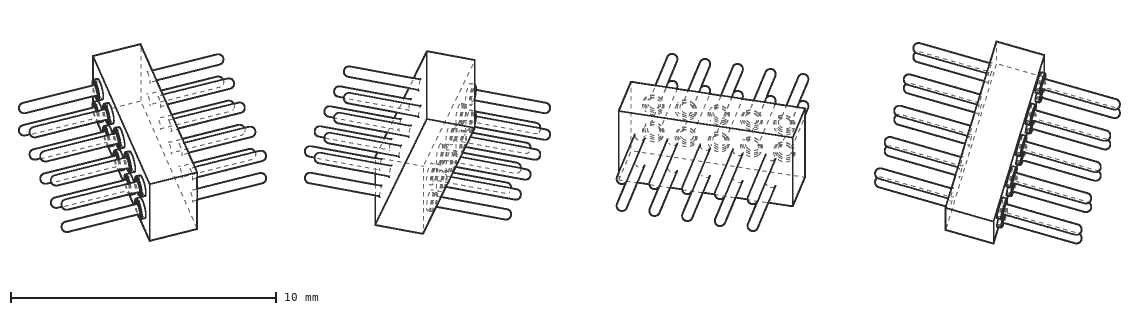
import cadquery as cq
import math

body_width = 6.76
body_height = 3.25
body_depth = 1.89

columns = 5
rows = 2
pitch = 1.27

overall_length = 8.1
rear_length = 3.005
pin_radius = 0.2
root_fillet = 0.08

flange_radius = 0.405
flange_thickness = 0.195
bevel_width = 0.05
bevel_depth = 0.04
collar_radius = 0.26

front_tip = -overall_length / 2
rear_tip = overall_length / 2
body_rear = rear_tip - rear_length
body_front = body_rear - body_depth
flange_front = body_front - flange_thickness


def make_body():
    """Plain rectangular insulator block."""
    body = cq.Workplane("XY").box(body_width, body_depth, body_height)
    return body.translate((0, (body_front + body_rear) / 2, 0))


def fillet_point(angle):
    """Radial and axial distance of a root fillet point from where the fillet leaves the shank."""
    return root_fillet * (1 - math.cos(angle)), root_fillet * math.sin(angle)


def make_pin():
    """Round pin along Y: half of its section, revolved about its own axis."""
    dome_offset = pin_radius * math.sqrt(0.5)
    front_dome_centre = front_tip + pin_radius
    rear_dome_centre = rear_tip - pin_radius

    front_angle = math.acos(1 - (collar_radius - pin_radius) / root_fillet)
    front_mid_out, front_mid_along = fillet_point(front_angle / 2)
    front_root_start = flange_front - fillet_point(front_angle)[1]
    rear_root_end = body_rear + root_fillet
    rear_mid_out, rear_mid_along = fillet_point(math.pi / 4)

    section = (
        cq.Workplane("XY")
        .moveTo(0, front_tip)
        .threePointArc((dome_offset, front_dome_centre - dome_offset), (pin_radius, front_dome_centre))
        .lineTo(pin_radius, front_root_start)
        .threePointArc(
            (pin_radius + front_mid_out, front_root_start + front_mid_along),
            (collar_radius, flange_front),
        )
        .lineTo(flange_radius - bevel_width, flange_front)
        .lineTo(flange_radius, flange_front + bevel_depth)
        .lineTo(flange_radius, body_front)
        .lineTo(pin_radius + root_fillet, body_front)
        .lineTo(pin_radius + root_fillet, body_rear)
        .threePointArc(
            (pin_radius + rear_mid_out, rear_root_end - rear_mid_along),
            (pin_radius, rear_root_end),
        )
        .lineTo(pin_radius, rear_dome_centre)
        .threePointArc((dome_offset, rear_dome_centre + dome_offset), (0, rear_tip))
        .close()
    )
    return section.revolve(360, (0, 0, 0), (0, 1, 0))


result = make_body()
pin = make_pin()
for column in range(columns):
    for row in range(rows):
        x = (column - (columns - 1) / 2) * pitch
        z = (row - (rows - 1) / 2) * pitch
        result = result.union(pin.translate((x, 0, z)))